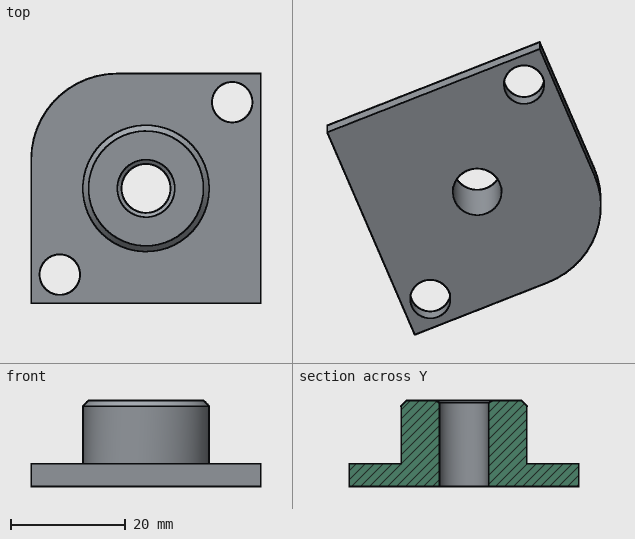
import cadquery as cq

plate_side = 40.0
plate_thickness = 4.0
corner_radius = 15.0

total_height = 15.0
boss_diameter = 22.0
boss_chamfer = 1.0

bore_diameter = 8.5
countersink_diameter = 10.0
countersink_depth = 0.45

mount_hole_diameter = 7.0
mount_hole_edge_distance = 5.0
mount_offset = plate_side / 2 - mount_hole_edge_distance


def make_plate():
    plate = cq.Workplane("XY").rect(plate_side, plate_side).extrude(plate_thickness)
    return plate.edges("<X and |Z").edges(">Y").fillet(corner_radius)


def make_boss():
    boss = cq.Workplane("XY").circle(boss_diameter / 2).extrude(total_height)
    return boss.faces(">Z").chamfer(boss_chamfer)


def make_bore():
    """Half profile of the bore and its countersink, revolved about Z."""
    return (
        cq.Workplane("XZ")
        .lineTo(bore_diameter / 2, 0)
        .lineTo(bore_diameter / 2, total_height - countersink_depth)
        .lineTo(countersink_diameter / 2, total_height)
        .lineTo(0, total_height)
        .close()
        .revolve(360, (0, 0), (0, 1))
    )


def make_mount_holes():
    centers = [(side * mount_offset, side * mount_offset) for side in (-1, 1)]
    holes = cq.Workplane("XY").pushPoints(centers).circle(mount_hole_diameter / 2)
    return holes.extrude(plate_thickness)


result = make_plate().union(make_boss()).cut(make_bore()).cut(make_mount_holes())